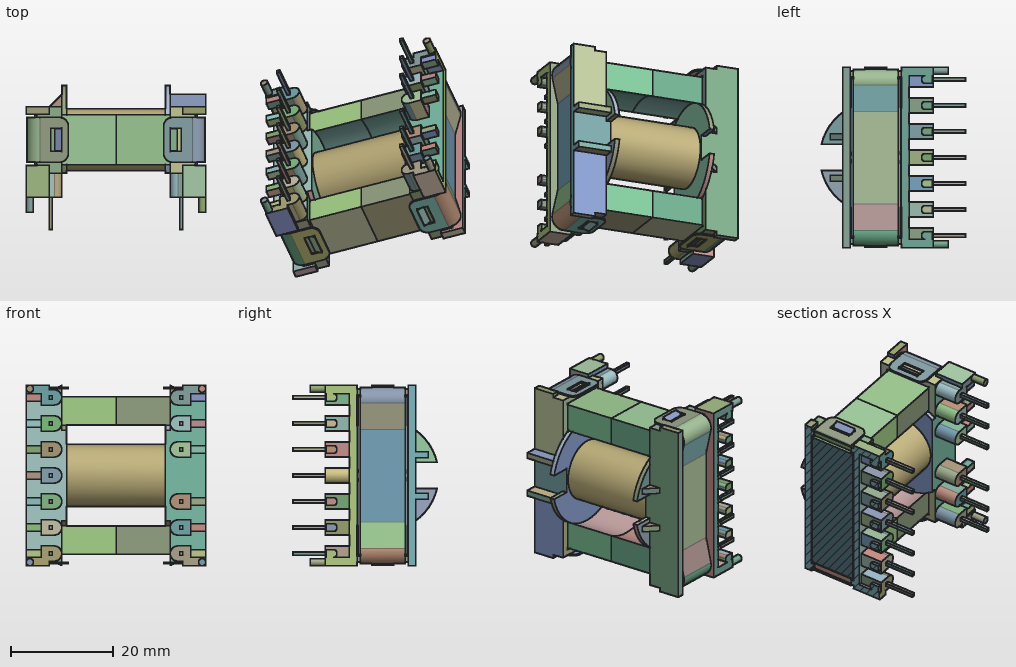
import cadquery as cq
import math


core_length = 15.85
core_half_depth = 4.85
core_half_height = 15.35
core_window_depth = 10.55
core_window_radius = 10.95
centre_leg_radius = core_half_depth

tube_radius = 6.1
flange_radius = 10.9
flange_thickness = 0.95
flange_outer_x = core_window_depth
flange_inner_x = flange_outer_x - flange_thickness
fin_notch_half_height = 2.55
fin_top_y = math.sqrt(flange_radius**2 - fin_notch_half_height**2)

frame_end_x = 17.5
frame_half_height = 17.6
frame_step_x = 13.0
frame_step_half_height = 16.85
opening_half_depth = 4.95
frame_half_depth = 6.48
bridge_end_x = 15.4
bridge_bottom_z = 15.65
rib_inner_z = 3.45
rib_thickness = 1.15
rib_height = 2.4

catch_length = 1.37
catch_half_width = 2.2
catch_height = 0.67

foot_y = -11.23
total_depth = 28.12
pin_pitch = 5.07
outer_pin_row = 3
pin_x = 12.7
pin_size = 0.67
pin_tip_y = fin_top_y - total_depth
post_outer_x = 14.57
post_half_width = 1.48
guide_half_width = 0.75
guide_fillet = 0.53
arm_half_gap = outer_pin_row * pin_pitch + guide_half_width
guide_near_y = -8.98
guide_far_y = -11.0
peg_radius = 0.7
peg_length = 2.92

clip_thickness = 0.3
clip_half_width = 4.35
clip_tip_x = 9.3
clip_corner_radius = 1.7
clip_bend_radius = 2.5
clip_side_x = 17.35
clip_lean = math.radians(12.5)
clip_slot_start_x = flange_outer_x
clip_slot_length = 2.15
clip_slot_half_width = 2.25
clip_top_z = frame_step_half_height + clip_thickness
clip_bend_x = clip_side_x - clip_bend_radius
clip_bend_z = clip_top_z - clip_bend_radius


def block(x_range, y_range, z_range):
    """Box between the given limits."""
    sizes = [high - low for low, high in (x_range, y_range, z_range)]
    corner = (x_range[0], y_range[0], z_range[0])
    return cq.Workplane("XY").box(*sizes, centered=False).translate(corner)


def centred_block(x_range, y_half, z_half):
    """Box that is symmetric about the X axis."""
    return block(x_range, (-y_half, y_half), (-z_half, z_half))


def x_cylinder(radius, start_x, end_x):
    """Cylinder around the X axis."""
    return cq.Workplane("YZ", origin=(start_x, 0, 0)).circle(radius).extrude(end_x - start_x)


def to_left(body):
    """Mirror image of a body on the +X side."""
    return body.mirror("YZ")


def both_heights(body):
    """A feature together with its mirror image below Z = 0."""
    return body.union(body.mirror("XY"))


def core_half():
    half = centred_block((0, core_length), core_half_depth, core_half_height)
    half = half.cut(x_cylinder(core_window_radius, 0, core_window_depth))
    return half.union(x_cylinder(centre_leg_radius, 0, core_window_depth))


def flange():
    """Round flange, cut flat at the pin side, with a notch that leaves two fins."""
    disc = x_cylinder(flange_radius, flange_inner_x, flange_outer_x)
    x_range = (flange_inner_x, flange_outer_x)
    disc = disc.intersect(block(x_range, (-frame_half_depth, flange_radius), (-flange_radius, flange_radius)))
    notch_y = (frame_half_depth, flange_radius)
    return disc.cut(block(x_range, notch_y, (-fin_notch_half_height, fin_notch_half_height)))


def frame():
    """Two rails along Z, joined by a bridge over each core leg."""
    bridge = block(
        (flange_outer_x, bridge_end_x),
        (-opening_half_depth, opening_half_depth),
        (bridge_bottom_z, frame_step_half_height),
    )
    bend_relief = centred_block((clip_bend_x, bridge_end_x), clip_half_width, frame_half_height)
    joined = both_heights(bridge.cut(bend_relief))
    for y_range in ((-frame_half_depth, -opening_half_depth), (opening_half_depth, frame_half_depth)):
        joined = joined.union(
            block((frame_step_x, frame_end_x), y_range, (-frame_half_height, frame_half_height))
        )
        joined = joined.union(
            block((flange_outer_x, frame_step_x), y_range, (-frame_step_half_height, frame_step_half_height))
        )
    return joined


def catches():
    """Ramps on the bridges that snap into the clip slots."""
    start_x = clip_slot_start_x
    ramp = (
        cq.Workplane("XZ", origin=(0, catch_half_width, 0))
        .moveTo(start_x, frame_step_half_height)
        .lineTo(start_x + catch_length, frame_step_half_height)
        .lineTo(start_x, frame_step_half_height + catch_height)
        .close()
        .extrude(2 * catch_half_width)
    )
    return both_heights(ramp)


def ribs(triangular):
    """Two ribs that brace the fins: triangles, or rectangles as long as the frame."""
    top_y = frame_half_depth + rib_height
    outline = cq.Workplane("XY", origin=(0, 0, rib_inner_z)).moveTo(flange_outer_x, frame_half_depth)
    if triangular:
        outline = outline.lineTo(flange_outer_x + rib_height, frame_half_depth)
    else:
        outline = outline.lineTo(frame_end_x, frame_half_depth).lineTo(frame_end_x, top_y)
    return both_heights(outline.lineTo(flange_outer_x, top_y).close().extrude(rib_thickness))


def corner_arms():
    """Arms at the top and bottom corners, each with a round stand-off peg."""
    arm = block(
        (frame_step_x, frame_end_x), (foot_y, -frame_half_depth), (arm_half_gap, frame_half_height)
    )
    peg = (
        cq.Workplane("XZ", origin=(frame_end_x - peg_radius, foot_y, frame_half_height - peg_radius))
        .circle(peg_radius)
        .extrude(peg_length)
    )
    return both_heights(arm.union(peg))


def pin_post(z):
    """Round-nosed post with its pin and its U-shaped wire guide."""
    nose_x = flange_outer_x + post_half_width
    post = block(
        (nose_x, post_outer_x), (foot_y, -frame_half_depth), (z - post_half_width, z + post_half_width)
    )
    nose = (
        cq.Workplane("XZ", origin=(nose_x, -frame_half_depth, z))
        .circle(post_half_width)
        .extrude(-frame_half_depth - foot_y)
    )
    pin_half = pin_size / 2
    pin = block((pin_x - pin_half, pin_x + pin_half), (pin_tip_y, foot_y), (z - pin_half, z + pin_half))
    guide = block(
        (post_outer_x, frame_end_x), (guide_far_y, guide_near_y), (z - guide_half_width, z + guide_half_width)
    )
    guide = guide.edges("|X and >Y").fillet(guide_fillet)
    return post.union(nose).union(pin).union(guide)


def former_end(pin_rows, triangular_ribs):
    end = flange().union(frame()).union(catches()).union(ribs(triangular_ribs)).union(corner_arms())
    for row in pin_rows:
        end = end.union(pin_post(row * pin_pitch))
    return end


def coil_former():
    former = x_cylinder(tube_radius, -flange_inner_x, flange_inner_x)
    former = former.union(former_end((-3, -2, -1, 1, 2, 3), triangular_ribs=False))
    former = former.union(to_left(former_end((-3, -2, -1, 0, 1, 2, 3), triangular_ribs=True)))
    return former.cut(x_cylinder(centre_leg_radius, -flange_outer_x, flange_outer_x))


def clip_solid(inset):
    """Solid inside the clip outline, with that outline moved inwards by the inset."""
    top_z = clip_top_z - inset
    radius = clip_bend_radius - inset
    bend_middle = (math.pi / 2 - clip_lean) / 2
    middle_x = clip_bend_x + radius * math.cos(bend_middle)
    middle_z = clip_bend_z + radius * math.sin(bend_middle)
    bend_end_x = clip_bend_x + radius * math.cos(clip_lean)
    bend_end_z = clip_bend_z - radius * math.sin(clip_lean)
    pressing_x = core_length + clip_thickness - inset
    pressing_z = bend_end_z - (bend_end_x - pressing_x) / math.tan(clip_lean)
    return (
        cq.Workplane("XZ", origin=(0, clip_half_width, 0))
        .moveTo(clip_tip_x, top_z)
        .lineTo(clip_bend_x, top_z)
        .threePointArc((middle_x, middle_z), (bend_end_x, bend_end_z))
        .lineTo(pressing_x, pressing_z)
        .lineTo(pressing_x, -pressing_z)
        .lineTo(bend_end_x, -bend_end_z)
        .threePointArc((middle_x, -middle_z), (clip_bend_x, -top_z))
        .lineTo(clip_tip_x, -top_z)
        .close()
        .extrude(2 * clip_half_width)
    )


def clip():
    """Bent strip: a tongue over each core leg, and arms that lean in to press on the core back."""
    strip = clip_solid(inset=0).cut(clip_solid(inset=clip_thickness))
    rounded_plan = centred_block((clip_tip_x, clip_side_x), clip_half_width, clip_top_z)
    rounded_plan = rounded_plan.edges("|Z and <X").fillet(clip_corner_radius)
    slot_x = (clip_slot_start_x, clip_slot_start_x + clip_slot_length)
    slots = centred_block(slot_x, clip_slot_half_width, clip_top_z)
    return strip.intersect(rounded_plan).cut(slots)


former = coil_former()
right_core = core_half()
left_core = to_left(right_core)
right_clip = clip()
left_clip = to_left(right_clip)

result = cq.Compound.makeCompound(
    [former.val(), right_core.val(), left_core.val(), right_clip.val(), left_clip.val()]
)